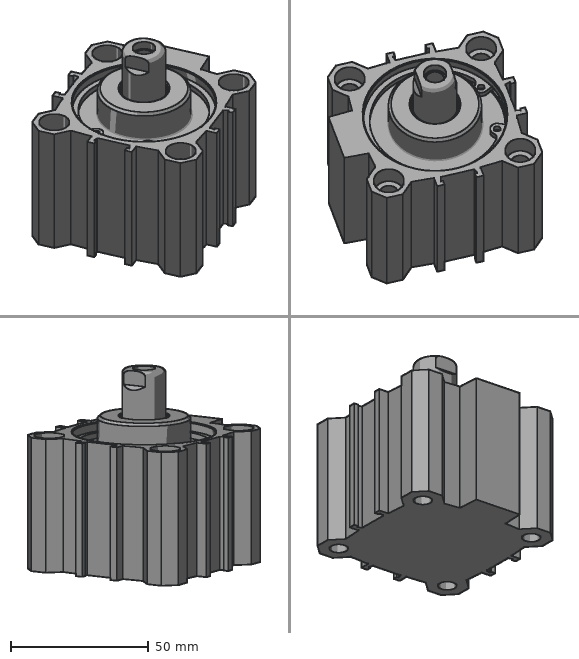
import cadquery as cq
import math


total_height = 73.0
housing_height = 49.4
boss_top = 55.5

half_width = 32.5
lug_outer = 28.0
lug_inner = 21.9
valley = 17.2
valley_depth = half_width - (lug_inner - valley)
wall_face = 28.4
port_block_root = 10.5
port_block_tip = 10.0
port_block_face = 37.5

rail_outer = 8.8
rail_lip = 6.05
lip_thickness = 1.9
slot_widest = 6.9
slot_floor_half = 6.35
slot_floor = 28.7

mount_spacing = 50.0
mount_diameter = 6.8
mount_counterbore = 11.0
mount_counterbore_depth = 7.0

bore_diameter = 52.2
bore_chamfer = 0.4
ring_depth = 3.35
ring_thickness = 2.1
ring_diameter = 55.2
cover_thickness = 7.3

ring_top = housing_height - ring_depth
cover_face = ring_top - ring_thickness
seat_height = cover_face - cover_thickness

cover_diameter = 51.8
cover_chamfer = 0.4
boss_diameter = 34.0
boss_chamfer = 1.0
boss_root_fillet = 0.9
rod_bore = 16.6
rod_bore_chamfer = 0.3
boss_recess = 17.7
boss_recess_depth = 1.0
boss_recess_chamfer = 0.5

ring_inner_radius = 23.95
ring_inner_y = -0.15
ear_x = 10.2
ear_y = -20.6
ear_radius = 2.55
ear_hole = 2.5
ear_fillet = 2.2

rod_diameter = 16.0
rod_fillet = 2.0
flat_width = 13.0
flat_length = 5.5
rod_counterbore = 8.25
rod_counterbore_depth = 3.0
rod_hole = 6.65
rod_hole_depth = 14.6


def cylinder(diameter, bottom, top):
    return cq.Workplane("XY").workplane(offset=bottom).circle(diameter / 2).extrude(top - bottom)


def mirrored(points):
    """A left half outline followed by its mirror image across X = 0."""
    return points + [(-x, y) for x, y in reversed(points)]


def turned(points, quarter_turns):
    """Points turned about the cylinder axis in steps of 90 degrees."""
    for _ in range(quarter_turns):
        points = [(-y, x) for x, y in points]
    return points


def housing_outline():
    """Closed outline, counter-clockwise, with each side drawn as if it faced -Y."""
    lug_half = [
        (-lug_outer, -half_width),
        (-lug_inner, -half_width),
        (-valley, -valley_depth),
    ]
    rail_side = mirrored(lug_half + [
        (-rail_outer, -wall_face),
        (-rail_outer, -half_width),
        (-rail_lip, -half_width),
        (-rail_lip, lip_thickness - half_width),
        (-slot_widest, lip_thickness - half_width),
        (-slot_floor_half, -slot_floor),
    ])
    port_side = mirrored(lug_half + [
        (-port_block_root, -wall_face),
        (-port_block_tip, -port_block_face),
    ])
    front = rail_side
    right = turned(rail_side, 1)
    back = turned(port_side, 2)
    left = turned(rail_side, 3)
    return front + right + back + left


def make_housing():
    body = cq.Workplane("XY").polyline(housing_outline()).close().extrude(housing_height)
    body = (
        body.faces(">Z").workplane(origin=(0, 0, housing_height))
        .rect(mount_spacing, mount_spacing, forConstruction=True).vertices()
        .cboreHole(mount_diameter, mount_counterbore, mount_counterbore_depth)
    )
    body = body.cut(cylinder(bore_diameter, seat_height, housing_height))
    body = body.cut(cylinder(ring_diameter, cover_face, ring_top))
    bore_rim = cq.selectors.RadiusNthSelector(-1)
    return body.faces(">Z").edges("%CIRCLE").edges(bore_rim).chamfer(bore_chamfer)


def make_cover():
    """Turned profile of radius and height, revolved about the cylinder axis."""
    bore = rod_bore / 2
    recess = boss_recess / 2
    recess_floor = boss_top - boss_recess_depth
    boss = boss_diameter / 2
    flange = cover_diameter / 2
    fillet_side = boss_root_fillet * (1 - math.sqrt(0.5))
    profile = (
        cq.Workplane("XZ")
        .moveTo(bore, seat_height)
        .lineTo(flange, seat_height)
        .lineTo(flange, cover_face - cover_chamfer)
        .lineTo(flange - cover_chamfer, cover_face)
        .lineTo(boss + boss_root_fillet, cover_face)
        .threePointArc(
            (boss + fillet_side, cover_face + fillet_side),
            (boss, cover_face + boss_root_fillet),
        )
        .lineTo(boss, boss_top - boss_chamfer)
        .lineTo(boss - boss_chamfer, boss_top)
        .lineTo(recess + boss_recess_chamfer, boss_top)
        .lineTo(recess, boss_top - boss_recess_chamfer)
        .lineTo(recess, recess_floor)
        .lineTo(bore + rod_bore_chamfer, recess_floor)
        .lineTo(bore, recess_floor - rod_bore_chamfer)
        .close()
    )
    return profile.revolve(360, (0, 0, 0), (0, 1, 0))


def make_retaining_ring():
    ring_radius = ring_diameter / 2
    ear_distance = math.hypot(ear_x, ear_y)
    ear_angle = math.degrees(math.atan2(ear_y, ear_x))
    base = cq.Workplane("XY").workplane(offset=cover_face)

    ring = base.circle(ring_radius).extrude(ring_thickness)
    ring = ring.cut(base.center(0, ring_inner_y).circle(ring_inner_radius).extrude(ring_thickness))
    wedge_reach = 2 * ring_radius / ear_distance
    wedge_x = ear_x * wedge_reach
    wedge_y = ear_y * wedge_reach
    wedge = base.polyline([(0, 0), (-wedge_x, wedge_y), (wedge_x, wedge_y)]).close()
    ring = ring.cut(wedge.extrude(ring_thickness))

    neck_length = ring_radius - ear_distance
    disc = base.circle(ring_radius).extrude(ring_thickness)
    for angle in (ear_angle, 180 - ear_angle):
        neck = (
            base.center(ear_distance + neck_length / 2, 0)
            .rect(neck_length, 2 * ear_radius).extrude(ring_thickness)
        )
        head = base.center(ear_distance, 0).circle(ear_radius).extrude(ring_thickness)
        ear = head.union(neck).rotate((0, 0, 0), (0, 0, 1), angle)
        ring = ring.union(ear.intersect(disc))

    ear_rise = ear_y - ring_inner_y
    ear_offset = math.hypot(ear_x, ear_rise)
    crossing = math.acos(
        (ear_offset**2 + ring_inner_radius**2 - ear_radius**2)
        / (2 * ear_offset * ring_inner_radius)
    )
    corner_angle = math.atan2(ear_rise, ear_x) + crossing
    corner_x = ring_inner_radius * math.cos(corner_angle)
    corner_y = ring_inner_y + ring_inner_radius * math.sin(corner_angle)
    for side in (-1, 1):
        corner = (side * corner_x, corner_y, cover_face + ring_thickness / 2)
        corner_edge = cq.selectors.NearestToPointSelector(corner)
        ring = ring.edges("|Z").edges(corner_edge).fillet(ear_fillet)

    ear_holes = base.pushPoints([(-ear_x, ear_y), (ear_x, ear_y)]).circle(ear_hole / 2)
    return ring.cut(ear_holes.extrude(ring_thickness))


def make_rod():
    rod = cylinder(rod_diameter, seat_height, total_height).faces(">Z").edges().fillet(rod_fillet)

    rod_radius = rod_diameter / 2
    flat_depth = rod_radius - flat_width / 2
    flat_foot = total_height - flat_length
    for side in (-1, 1):
        flat = (
            cq.Workplane("YZ")
            .polyline([
                (side * flat_width / 2, total_height),
                (side * flat_width / 2, flat_foot),
                (side * rod_radius, flat_foot - flat_depth),
                (side * rod_radius, total_height),
            ])
            .close().extrude(rod_radius, both=True)
        )
        rod = rod.cut(flat)

    rod = rod.cut(cylinder(rod_counterbore, total_height - rod_counterbore_depth, total_height))
    return rod.cut(cylinder(rod_hole, total_height - rod_hole_depth, total_height))


housing = make_housing()
cover = make_cover()
retaining_ring = make_retaining_ring()
rod = make_rod()

result = cq.Compound.makeCompound([
    housing.solids().val(),
    cover.solids().val(),
    retaining_ring.solids().val(),
    rod.solids().val(),
])